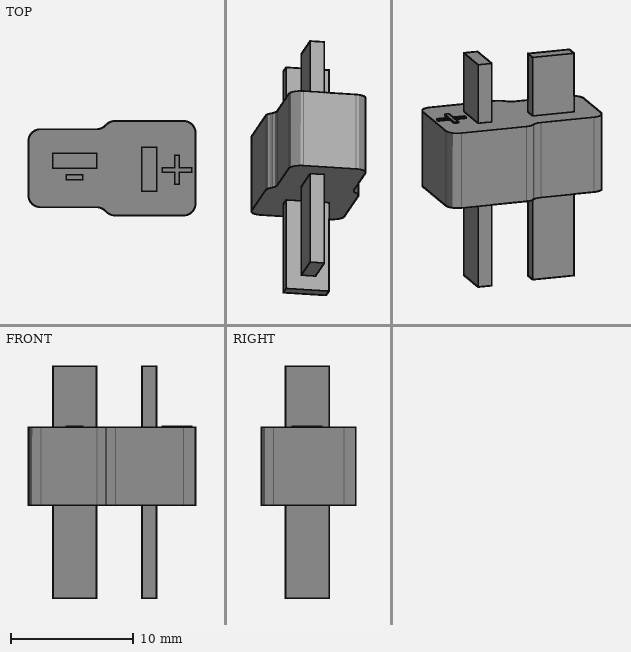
import cadquery as cq
import math

total_height = 19.0
body_height = 6.4
blade_above = 5.0
blade_below = total_height - body_height - blade_above
body_length = 13.7
wide_width = 7.75
narrow_width = 6.4
corner_radius = 1.0

step_angle = math.radians(45)
step_centre_x = 6.35
step_radius = 1.0

blade_width = 3.6
blade_thickness = 1.2
negative_blade_centre = (3.8, 0.6)
positive_blade_centre = (9.9, -0.1)

mark_height = 0.1
mark_stroke = 0.38
minus_length = 1.37
minus_centre = (3.78, -0.75)
plus_length = 2.4
plus_centre = (12.16, -0.13)


def make_body():
    """Block with a narrow and a wide end, blended by a smooth step on each side."""
    narrow_y = narrow_width / 2
    wide_y = wide_width / 2
    middle_y = (narrow_y + wide_y) / 2
    arc_run = step_radius * math.sin(step_angle)
    arc_rise = step_radius * (1 - math.cos(step_angle))
    flat_half_rise = middle_y - narrow_y - arc_rise
    flat_half_run = flat_half_rise / math.tan(step_angle)
    half_run = flat_half_run + arc_run
    step_start = step_centre_x - half_run
    step_end = step_centre_x + half_run
    flat_start = step_centre_x - flat_half_run
    flat_end = step_centre_x + flat_half_run
    mid_run = step_radius * math.sin(step_angle / 2)
    mid_rise = step_radius * (1 - math.cos(step_angle / 2))
    concave_middle = (step_start + mid_run, narrow_y + mid_rise)
    convex_middle = (step_end - mid_run, wide_y - mid_rise)

    half_outline = (
        cq.Workplane("XY")
        .moveTo(0, 0)
        .lineTo(0, narrow_y)
        .lineTo(step_start, narrow_y)
        .threePointArc(concave_middle, (flat_start, narrow_y + arc_rise))
        .lineTo(flat_end, wide_y - arc_rise)
        .threePointArc(convex_middle, (step_end, wide_y))
        .lineTo(body_length, wide_y)
        .lineTo(body_length, 0)
        .close()
    )
    half = half_outline.extrude(-body_height)
    body = half.union(half.mirror("XZ")).clean()
    return body.edges("|Z and (<X or >X)").fillet(corner_radius)


def make_bar(centre, length_x, length_y, bottom, top):
    """Upright rectangular bar between two heights."""
    return (
        cq.Workplane("XY", origin=(*centre, bottom))
        .rect(length_x, length_y)
        .extrude(top - bottom)
    )


def make_blade(centre, length_x, length_y):
    """Contact blade running through the full height of the part."""
    bottom = -body_height - blade_below
    return make_bar(centre, length_x, length_y, bottom, blade_above)


def make_mark_stroke(centre, length_x, length_y):
    """One stroke of a polarity mark, standing on the top face."""
    return make_bar(centre, length_x, length_y, 0, mark_height)


result = (
    make_body()
    .union(make_blade(negative_blade_centre, blade_width, blade_thickness))
    .union(make_blade(positive_blade_centre, blade_thickness, blade_width))
    .union(make_mark_stroke(minus_centre, minus_length, mark_stroke))
    .union(make_mark_stroke(plus_centre, plus_length, mark_stroke))
    .union(make_mark_stroke(plus_centre, mark_stroke, plus_length))
)